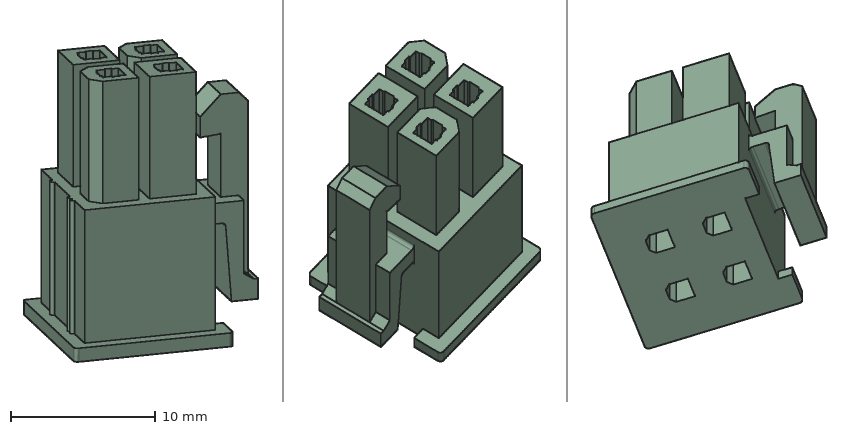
import cadquery as cq

FLANGE_SIZE = 11.6
FLANGE_HEIGHT = 1.0
FLANGE_CORNER_RADIUS = 0.3
FLANGE_NOTCH_WIDTH = 6.9

BODY_LENGTH = 9.65
BODY_WIDTH = 9.55
BODY_HEIGHT = 9.7
BODY_TOP = FLANGE_HEIGHT + BODY_HEIGHT
BODY_BACK = BODY_WIDTH / 2
BODY_FRONT = -BODY_WIDTH / 2

RIB_RADIUS = 0.265
RIB_PAIR_PITCH = 0.54
SINGLE_RIB_X = -2.1
RIB_PAIR_X = 2.1

TOTAL_HEIGHT = 19.6
POST_HEIGHT = TOTAL_HEIGHT - BODY_TOP
POST_SIZE = 3.4
POST_CHAMFER = 0.78
POST_PITCH = 4.2
POST_PATTERN_Y = -0.09

CAVITY_BACK = 1.05
MOUTH_WIDTH = 1.6
MOUTH_LENGTH = 1.64
MOUTH_DEPTH = POST_HEIGHT
BORE_WIDTH = 1.5
BORE_LENGTH = 1.74
BORE_CHAMFER = 0.36
KEYWAY_SPAN = 1.82
KEYWAY_LENGTH = 0.5
KEYWAY_Y = 0.32

LEVER_WIDTH = 5.37
LEVER_BACK = 7.57
LEVER_TOP = 9.5
LEVER_UNDERSIDE = 8.0
LEVER_STEP_Z = 4.18
LEVER_FILLET = 0.3
LEVER_INNER_TOP_Y = 6.24
LEVER_INNER_BOTTOM_Y = 6.66
GRIP_OVERHANG = 2.8
GRIP_BACK = FLANGE_SIZE / 2 + GRIP_OVERHANG
GRIP_TOP = 3.72
GRIP_BOTTOM = 2.22

ARM_WIDTH = 2.91
ARM_BACK = 8.27
ARM_FRONT = 6.28
ARM_TOP = 17.0
ARM_BACK_CHAMFER = 0.67
HOOK_TIP_Y = BODY_BACK
HOOK_NOSE_TOP = 15.5
HOOK_NOSE_BOTTOM = 13.98
HOOK_CATCH_Z = 14.12


def block(length, width, height, bottom, y=0.0):
    """Box centred in X and at the given Y, standing on the height `bottom`."""
    return (
        cq.Workplane("XY", origin=(0, y, bottom))
        .rect(length, width)
        .extrude(height)
    )


def make_flange():
    """Rounded square plate, open at the back behind the latch."""
    plate = block(FLANGE_SIZE, FLANGE_SIZE, FLANGE_HEIGHT, 0)
    plate = plate.edges("|Z").fillet(FLANGE_CORNER_RADIUS)
    notch_depth = FLANGE_SIZE / 2 - BODY_BACK
    notch_y = BODY_BACK + notch_depth / 2
    return plate.cut(block(FLANGE_NOTCH_WIDTH, notch_depth, FLANGE_HEIGHT, 0, notch_y))


def make_ribs():
    """One single rib and one close pair, each a rod half sunk into the front face."""
    rib_positions = [
        (SINGLE_RIB_X, BODY_FRONT),
        (RIB_PAIR_X - RIB_PAIR_PITCH / 2, BODY_FRONT),
        (RIB_PAIR_X + RIB_PAIR_PITCH / 2, BODY_FRONT),
    ]
    return (
        cq.Workplane("XY", origin=(0, 0, FLANGE_HEIGHT))
        .pushPoints(rib_positions)
        .circle(RIB_RADIUS)
        .extrude(BODY_HEIGHT)
    )


def make_post(keyed):
    """Square post; a keyed post has its two front corners bevelled."""
    post = block(POST_SIZE, POST_SIZE, POST_HEIGHT, BODY_TOP)
    if keyed:
        post = post.faces("<Y").edges("|Z").chamfer(POST_CHAMFER)
    return post


def make_cavity():
    """Through bore with bevelled front corners, below a squarer mouth with side keyways."""
    bore_y = CAVITY_BACK - BORE_LENGTH / 2
    bore = block(BORE_WIDTH, BORE_LENGTH, TOTAL_HEIGHT, 0, bore_y)
    bore = bore.faces("<Y").edges("|Z").chamfer(BORE_CHAMFER)
    mouth_bottom = TOTAL_HEIGHT - MOUTH_DEPTH
    mouth_y = CAVITY_BACK - MOUTH_LENGTH / 2
    mouth = block(MOUTH_WIDTH, MOUTH_LENGTH, MOUTH_DEPTH, mouth_bottom, mouth_y)
    keyways = block(KEYWAY_SPAN, KEYWAY_LENGTH, MOUTH_DEPTH, mouth_bottom, KEYWAY_Y)
    return bore.union(mouth).union(keyways)


def make_lever():
    """Wide rocker with a finger grip, filleted at its root and at its inner corner."""
    root_tangent_y = BODY_BACK + LEVER_FILLET
    underside_tangent_z = LEVER_UNDERSIDE - LEVER_FILLET
    profile = (
        cq.Workplane("YZ")
        .moveTo(BODY_BACK, LEVER_TOP + LEVER_FILLET)
        .radiusArc((root_tangent_y, LEVER_TOP), -LEVER_FILLET)
        .lineTo(LEVER_BACK, LEVER_TOP)
        .lineTo(LEVER_BACK, LEVER_STEP_Z)
        .lineTo(ARM_BACK, GRIP_TOP)
        .lineTo(GRIP_BACK, GRIP_TOP)
        .lineTo(GRIP_BACK, GRIP_BOTTOM)
        .lineTo(LEVER_INNER_BOTTOM_Y, GRIP_BOTTOM)
        .lineTo(LEVER_INNER_TOP_Y, underside_tangent_z)
        .radiusArc((LEVER_INNER_TOP_Y - LEVER_FILLET, LEVER_UNDERSIDE), -LEVER_FILLET)
        .lineTo(root_tangent_y, LEVER_UNDERSIDE)
        .radiusArc((BODY_BACK, underside_tangent_z), -LEVER_FILLET)
        .close()
    )
    return profile.extrude(LEVER_WIDTH / 2, both=True)


def make_arm():
    """Narrow beam with a bevelled top and a hook pointing at the posts."""
    outline = [
        (ARM_BACK, GRIP_TOP),
        (ARM_BACK, ARM_TOP - ARM_BACK_CHAMFER),
        (ARM_BACK - ARM_BACK_CHAMFER, ARM_TOP),
        (ARM_FRONT, ARM_TOP),
        (HOOK_TIP_Y, HOOK_NOSE_TOP),
        (HOOK_TIP_Y, HOOK_NOSE_BOTTOM),
        (ARM_FRONT, HOOK_CATCH_Z),
        (ARM_FRONT, LEVER_UNDERSIDE),
        (LEVER_BACK, GRIP_TOP),
    ]
    return cq.Workplane("YZ").polyline(outline).close().extrude(ARM_WIDTH / 2, both=True)


def make_connector():
    """Flange, body, ribs, latch and posts joined, then pierced by the cavities."""
    body = block(BODY_LENGTH, BODY_WIDTH, BODY_HEIGHT, FLANGE_HEIGHT)
    latch = make_lever().union(make_arm())
    part = make_flange().union(body).union(make_ribs()).union(latch)
    cavity = make_cavity()
    for column in (-1, 1):
        for row in (-1, 1):
            keyed = column != row
            place = (column * POST_PITCH / 2, POST_PATTERN_Y + row * POST_PITCH / 2, 0)
            part = part.union(make_post(keyed).translate(place))
            part = part.cut(cavity.translate(place))
    return part


result = make_connector()